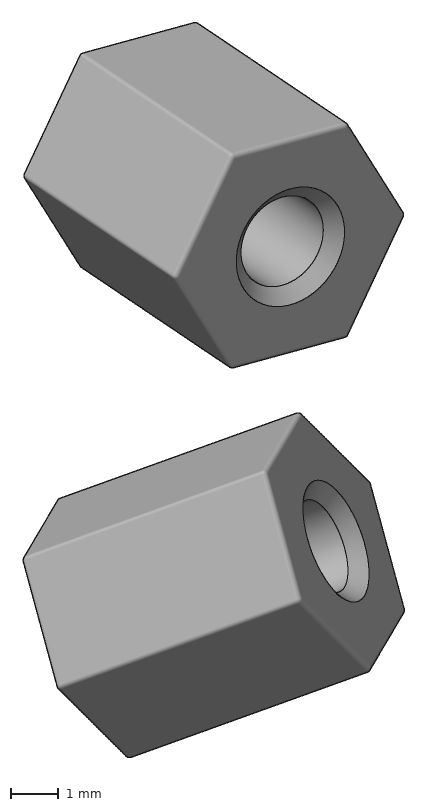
import cadquery as cq
import math

length = 6.0
across_flats = 5.0
edge_radius = 0.1

bore_diameter = 2.05
countersink_diameter = 2.7
countersink_angle = 90.0

across_corners = across_flats / math.cos(math.radians(30))
countersink_width = (countersink_diameter - bore_diameter) / 2
countersink_depth = countersink_width / math.tan(math.radians(countersink_angle / 2))


def rounded_hexagon():
    """Hexagonal bar centred on the origin, every outer edge rounded."""
    bar = cq.Workplane("YZ").polygon(6, across_corners).extrude(length / 2, both=True)
    return bar.edges().fillet(edge_radius)


def countersunk_bore():
    """Bore and its two countersinks, as one solid revolved about X."""
    end = length / 2
    cone_start = end - countersink_depth
    bore_radius = bore_diameter / 2
    mouth_radius = countersink_diameter / 2
    half_section = [
        (-end, 0),
        (-end, mouth_radius),
        (-cone_start, bore_radius),
        (cone_start, bore_radius),
        (end, mouth_radius),
        (end, 0),
    ]
    profile = cq.Workplane("XY").polyline(half_section).close()
    return profile.revolve(360, (0, 0, 0), (1, 0, 0))


result = rounded_hexagon().cut(countersunk_bore())